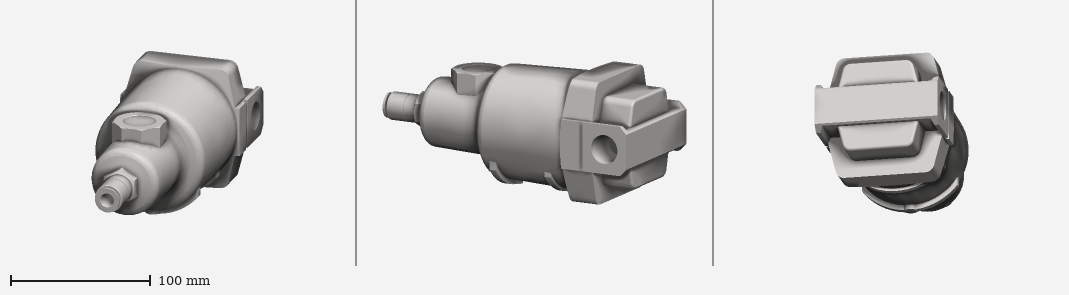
import cadquery as cq
import math


width = 90.0
half_width = width / 2
length = 218.0

flange_back = 29.6
seam = 41.6
flange_corner_x = 34.7
flange_corner_radius = 6.5
flange_side_x = 41.5
flange_side_z = 19.2
lug_half_height = 18.0

port_half_height = lug_half_height
port_corner_chamfer = 5.2
port_front = 35.5
lug_back = 38.8
groove_floor_x = 43.0
port_station = 17.9
port_radius = 10.7
port_depth = 26.2
recess_z = 14.2
recess_floor_x = 39.7
recess_mouth_x = 41.6
cap_back = port_corner_chamfer
cap_half_height = 33.0
cap_corner_x = 24.9
cap_base_x = 29.6
cap_corner_radius = 6.0
cap_rim_fillet = 2.0

end_cone_angle = 16.0
end_slope = math.tan(math.radians(end_cone_angle))
flange_front = 54.0
body_back_radius = 43.4
body_front = 124.5
body_front_radius = 41.0
neck_back_radius = 27.0
neck_front = 180.0
neck_front_radius = 25.3
turn_fillet = 6.0
neck_back = body_front + (body_front_radius - neck_back_radius) * end_slope

boss_station = 145.0
boss_sides = 8
boss_flats = 36.0
boss_top_z = 35.3
boss_chamfer_height = 0.7
boss_recess_radius = 11.8
boss_recess_chamfer = 0.5
boss_recess_depth = 0.7

strap_half_width = 34.9
strap_thickness = 5.2
strap_stations = (69.5, 114.2)
pad_radius = 5.0

hex_sides = 6
hex_flats = 23.3
end_radius = hex_flats / 2
bowl_end = neck_front + (neck_front_radius - end_radius) * end_slope
hex_front = 191.8
hex_face_radius = 11.0
hex_chamfer_slope = 0.7
stem_radius = 10.2
stem_front = 214.5
stem_groove_station = 200.3
stem_groove_width = 0.7
stem_groove_depth = 0.33
stem_chamfer = 0.5
collar_neck_radius = 5.7
collar_back = 216.5
collar_radius = 9.2
bore_radius = 4.8
bore_chamfer = 0.5
bore_depth = 21.8

far = 2 * width


def revolve_about_y(profile):
    """Solid of revolution from (station, radius) points."""
    points = [(-station, radius) for station, radius in profile]
    return cq.Workplane("YZ").polyline(points).close().revolve(360, (0, 0, 0), (1, 0, 0))


def extrude_along_y(outline, start, end):
    """Prism between two stations from an (x, z) outline."""
    wire = cq.Workplane("XZ", origin=(0, -start, 0)).polyline(outline).close()
    return wire.extrude(end - start)


def mirrored_outline(quadrant):
    """Closed outline from the points of the +X +Z quadrant, listed from the top downward."""
    right = quadrant + [(x, -z) for x, z in reversed(quadrant)]
    return right + [(-x, z) for x, z in reversed(right)]


def box_between(x_range, y_range, z_range):
    sizes = [high - low for low, high in (x_range, y_range, z_range)]
    corner = (x_range[0], y_range[0], z_range[0])
    return cq.Workplane().box(*sizes, centered=False).translate(corner)


def round_circle(body, station, radius):
    """Fillet the circular edge that lies around the Y axis at a station."""
    tolerance = 0.02
    edge = body.edges("%CIRCLE").filter(
        lambda e: abs(e.Center().y + station) < tolerance and abs(e.Center().z) < tolerance
    )
    return body.newObject(edge.vals()).fillet(radius)


def rounded_prism(quadrant, start, end, radius):
    """Prism whose four top and bottom corners are rounded."""
    prism = extrude_along_y(mirrored_outline(quadrant), start, end)
    corner_z = quadrant[0][1]
    corners = prism.edges("|Y").filter(lambda e: abs(e.Center().z) > corner_z - radius)
    return prism.newObject(corners.vals()).fillet(radius)


def make_flange(start, end):
    quadrant = [
        (flange_corner_x, half_width),
        (flange_side_x, flange_side_z),
        (flange_side_x, lug_half_height),
        (half_width, lug_half_height),
    ]
    return rounded_prism(quadrant, start, end, flange_corner_radius)


def make_port_block():
    block = box_between(
        (-half_width, half_width), (-port_front, 0), (-port_half_height, port_half_height)
    )
    block = block.faces(">Y").edges("|X").chamfer(port_corner_chamfer)
    wall_slope = (recess_mouth_x - recess_floor_x) / (port_half_height - recess_z)
    top_z = half_width
    top_x = recess_floor_x + wall_slope * (top_z - recess_z)
    for side in (1, -1):
        outline = [
            (-recess_floor_x, side * recess_z),
            (recess_floor_x, side * recess_z),
            (top_x, side * top_z),
            (-top_x, side * top_z),
        ]
        block = block.cut(extrude_along_y(outline, 0, port_front))
    return block


def make_cap():
    quadrant = [(cap_corner_x, cap_half_height), (cap_base_x, recess_z)]
    cap = rounded_prism(quadrant, cap_back, flange_back, cap_corner_radius)
    return cap.faces(">Y").edges().fillet(cap_rim_fillet)


def make_head():
    head = make_port_block().union(make_cap()).union(make_flange(flange_back, seam))
    for side in (1, -1):
        groove_x = sorted((side * groove_floor_x, side * far))
        head = head.cut(box_between(groove_x, (-lug_back, -port_front), (-far, far)))
        port = cq.Workplane("YZ", origin=(side * half_width, 0, 0)).center(-port_station, 0)
        head = head.cut(port.circle(port_radius).extrude(-side * port_depth))
    return head


def make_bowl_shell():
    """Tapered body, sloped shoulder, tapered neck and sloped end."""
    shell = revolve_about_y([
        (seam, 0),
        (seam, body_back_radius),
        (flange_front, body_back_radius),
        (body_front, body_front_radius),
        (neck_back, neck_back_radius),
        (neck_front, neck_front_radius),
        (bowl_end, end_radius),
        (bowl_end, 0),
    ])
    shell = round_circle(shell, body_front, turn_fillet)
    shell = round_circle(shell, neck_back, turn_fillet)
    return round_circle(shell, neck_front, turn_fillet)


def make_bowl_flange():
    """Flange with its front trimmed to a shallow cone."""
    rim_front = flange_front - (far - half_width) * end_slope
    tip_front = flange_front + half_width * end_slope
    inner_front = flange_front + (half_width - body_back_radius) * end_slope
    cone = revolve_about_y([
        (rim_front, 0),
        (rim_front, far),
        (inner_front, body_back_radius),
        (inner_front, 0),
    ])
    return make_flange(seam, tip_front).intersect(cone)


def make_boss():
    """Octagonal boss with trimmed top corners and a shallow round recess."""
    across_corners = boss_flats / math.cos(math.pi / boss_sides)
    base = cq.Workplane("XY", origin=(0, -boss_station, 0))
    half_turn = 180 / boss_sides
    octagon = base.transformed(rotate=(0, 0, half_turn)).polygon(boss_sides, across_corners)
    boss = octagon.extrude(boss_top_z)
    turned = base.circle(across_corners / 2).extrude(boss_top_z)
    turned = turned.faces(">Z").chamfer(boss_chamfer_height, (across_corners - boss_flats) / 2)
    recess = base.workplane(offset=boss_top_z).circle(boss_recess_radius).extrude(-boss_recess_depth)
    mouth = base.workplane(offset=boss_top_z).circle(boss_recess_radius + boss_recess_chamfer)
    mouth = mouth.extrude(-boss_recess_chamfer, taper=45)
    return boss.intersect(turned), recess.union(mouth)


def make_strap(station):
    """Lower part of a disc, cut off at the sides."""
    start = station - strap_thickness / 2
    disc = cq.Workplane("XZ", origin=(0, -start, 0)).circle(half_width).extrude(strap_thickness)
    lower = box_between((-strap_half_width, strap_half_width), (-length, 0), (-far, 0))
    return disc.intersect(lower)


def make_bowl():
    bowl = make_bowl_shell().union(make_bowl_flange())
    boss, boss_recess = make_boss()
    bowl = bowl.union(boss).cut(boss_recess)
    for station in strap_stations:
        bowl = bowl.union(make_strap(station))
    pad = cq.Workplane("XY", origin=(0, -strap_stations[-1], 0)).circle(pad_radius).extrude(-half_width)
    return bowl.union(pad)


def make_hex():
    corner_radius = hex_flats / 2 / math.cos(math.pi / hex_sides)
    corner_angles = [2 * math.pi * corner / hex_sides for corner in range(hex_sides)]
    outline = [(corner_radius * math.sin(a), corner_radius * math.cos(a)) for a in corner_angles]
    prism = extrude_along_y(outline, bowl_end, hex_front)
    corner_drop = (corner_radius - hex_face_radius) * hex_chamfer_slope
    turned = revolve_about_y([
        (bowl_end, 0),
        (bowl_end, corner_radius),
        (hex_front - corner_drop, corner_radius),
        (hex_front, hex_face_radius),
        (hex_front, 0),
    ])
    return prism.intersect(turned)


def make_fitting():
    groove_back = stem_groove_station - stem_groove_width / 2
    groove_front = stem_groove_station + stem_groove_width / 2
    groove_radius = stem_radius - stem_groove_depth
    stem = revolve_about_y([
        (bowl_end, 0),
        (bowl_end, stem_radius),
        (groove_back, stem_radius),
        (groove_back, groove_radius),
        (groove_front, groove_radius),
        (groove_front, stem_radius),
        (stem_front - stem_chamfer, stem_radius),
        (stem_front, stem_radius - stem_chamfer),
        (stem_front, collar_neck_radius),
        (collar_back, collar_neck_radius),
        (collar_back, collar_radius),
        (length, collar_radius),
        (length, bore_radius + bore_chamfer),
        (length - bore_chamfer, bore_radius),
        (length - bore_depth, bore_radius),
        (length - bore_depth, 0),
    ])
    return make_hex().union(stem)


fitting = make_fitting()
bowl = make_bowl()
head = make_head()

result = cq.Compound.makeCompound([head.val(), bowl.val(), fitting.val()])